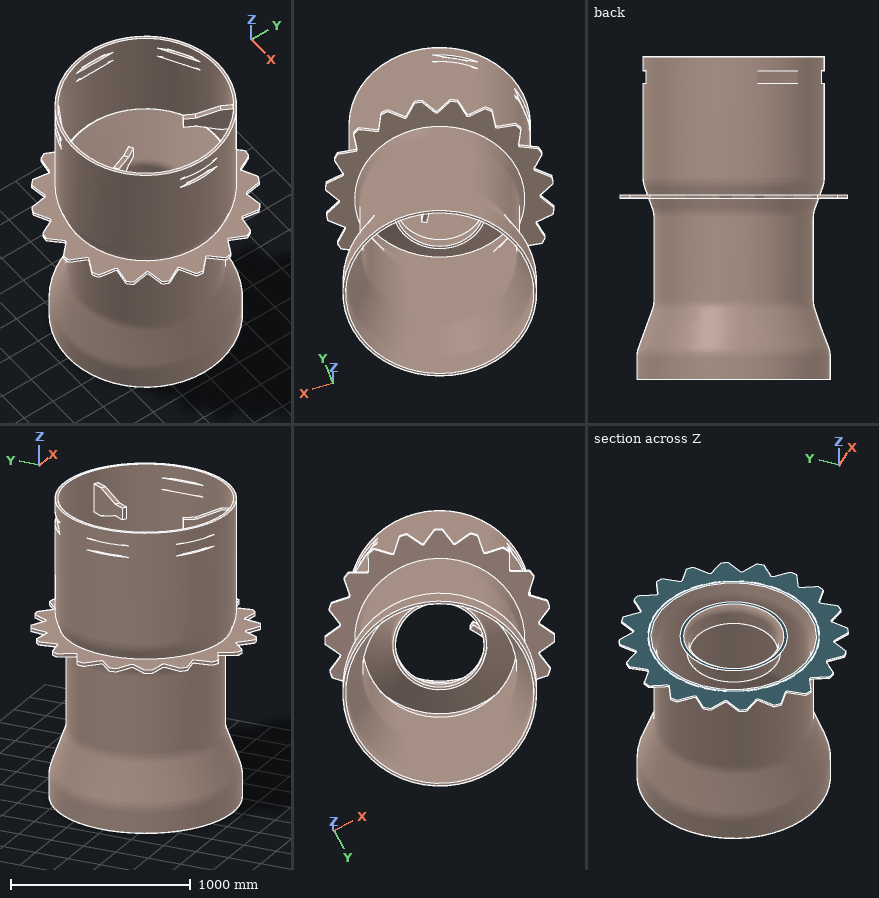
import cadquery as cq
import math

height = 1800.0
wall = 16.0
base_radius = 1080.0 / 2
neck_radius = 890.0 / 2
top_radius = 1012.0 / 2
cone_angle = math.radians(20.0)
convex_bend = 158.0
concave_bend = 142.0
base_corner_z = 153.0
neck_top_corner_z = 930.0

flat_width = 255.0
flat_height = 70.0
flat_top_drop = 80.0
flat_angles = (0.0, 120.0, 180.0, 240.0)

tooth_count = 20
tip_radius = 640.0
root_radius = 560.0
tooth_fillet = 10.0
ring_thickness = 20.0
ring_bottom_z = 1009.0

spout_bore_radius = 500.0 / 2
funnel_wall = (530.0 - 500.0) / 2
funnel_mouth_radius = 960.0 / 2
funnel_outer_bend = 50.0
funnel_rim_z = 1200.0
spout_length = 60.0
spout_taper = 4.0

blade_angles = (60.0, -60.0)
blade_thickness = 30.0
blade_centre_z = 1635.0
blade_root_height = 170.0
blade_tip_height = 70.0
blade_tip_radius = 210.0
blade_taper_inner = 280.0
blade_taper_outer = 420.0

top_bore_radius = top_radius - wall
neck_bottom_corner_z = base_corner_z + (base_radius - neck_radius) / math.tan(cone_angle)
top_corner_z = neck_top_corner_z + (top_radius - neck_radius) / math.tan(cone_angle)
flat_z = height - flat_top_drop - flat_height
flat_outer_distance = math.sqrt(top_radius**2 - (flat_width / 2) ** 2)
flat_inner_distance = math.sqrt(top_bore_radius**2 - (flat_width / 2) ** 2)


def housing_solid(inset):
    """Solid of revolution bounded by the housing's outer surface moved inward by inset."""
    half_tan = math.tan(cone_angle / 2)
    shift = inset * half_tan
    narrowing, widening = -1, 1
    bends = [
        (base_radius, base_corner_z - shift, convex_bend - inset, True, narrowing),
        (neck_radius, neck_bottom_corner_z - shift, concave_bend + inset, False, narrowing),
        (neck_radius, neck_top_corner_z + shift, concave_bend + inset, True, widening),
        (top_radius, top_corner_z + shift, convex_bend - inset, False, widening),
    ]
    profile = cq.Workplane("XZ").lineTo(base_radius - inset, 0)
    for outer_radius, corner_z, bend_radius, cone_above, direction in bends:
        radius = outer_radius - inset
        tangent = bend_radius * half_tan
        side = 1 if cone_above else -1
        tube_end = (radius, corner_z - side * tangent)
        cone_end = (
            radius + side * direction * tangent * math.sin(cone_angle),
            corner_z + side * tangent * math.cos(cone_angle),
        )
        start, end = (tube_end, cone_end) if cone_above else (cone_end, tube_end)
        profile = profile.lineTo(*start).tangentArcPoint(end, relative=False)
    profile = profile.lineTo(top_radius - inset, height).lineTo(0, height).close()
    return profile.revolve(360, (0, 0, 0), (0, 1, 0))


def slab_beyond(distance):
    """Block of the flats' height that lies beyond a plane at this distance from the axis."""
    plane = cq.Workplane("XY", origin=(distance, 0, flat_z))
    return plane.box(top_radius, 2 * top_radius, flat_height, centered=(False, True, False))


def make_housing():
    """Tube shell whose wall is pressed flat at four places below the rim."""
    housing = housing_solid(0).cut(housing_solid(wall))
    mid_wall_radius = top_radius - wall / 2
    core = cq.Workplane("XY", origin=(0, 0, flat_z)).circle(mid_wall_radius).extrude(flat_height)
    outer_cut = slab_beyond(flat_outer_distance)
    inner_pad = core.intersect(slab_beyond(flat_inner_distance)).cut(outer_cut)
    for angle in flat_angles:
        housing = housing.union(inner_pad.rotate((0, 0, 0), (0, 0, 1), angle))
        housing = housing.cut(outer_cut.rotate((0, 0, 0), (0, 0, 1), angle))
    return housing


def turned(point, angle):
    """Point rotated about the origin."""
    x, y = point
    return (
        x * math.cos(angle) - y * math.sin(angle),
        x * math.sin(angle) + y * math.cos(angle),
    )


def mirrored(point):
    """Point reflected across the X axis."""
    return (point[0], -point[1])


def make_toothed_ring():
    """Flat ring with rounded 90 degree V gaps between its teeth, bored to the housing's cone."""
    diagonal = tooth_fillet / math.sqrt(2)
    pitch = 2 * math.pi / tooth_count
    root_centre_x = root_radius + tooth_fillet
    root_end = (root_centre_x - diagonal, diagonal)
    flank_offset = root_centre_x - 2 * tooth_fillet * math.sqrt(2)
    centre_radius = tip_radius - tooth_fillet
    tip_centre_y = (math.sqrt(2 * centre_radius**2 - flank_offset**2) - flank_offset) / 2
    tip_centre_x = tip_centre_y + flank_offset
    flank_end = (tip_centre_x + diagonal, tip_centre_y - diagonal)
    tip_angle = math.atan2(tip_centre_y, tip_centre_x)
    tip_start = (tip_radius * math.cos(tip_angle), tip_radius * math.sin(tip_angle))

    outline = cq.Workplane("XY", origin=(0, 0, ring_bottom_z)).moveTo(*mirrored(root_end))
    for index in range(tooth_count):
        gap = index * pitch
        next_gap = gap + pitch
        outline = (
            outline.threePointArc(turned((root_radius, 0), gap), turned(root_end, gap))
            .lineTo(*turned(flank_end, gap))
            .tangentArcPoint(turned(tip_start, gap), relative=False)
            .threePointArc(
                turned((tip_radius, 0), gap + pitch / 2),
                turned(mirrored(tip_start), next_gap),
            )
            .tangentArcPoint(turned(mirrored(flank_end), next_gap), relative=False)
            .lineTo(*turned(mirrored(root_end), next_gap))
        )
    return outline.close().extrude(ring_thickness).cut(housing_solid(0))


def make_funnel():
    """Cone with a short spout; its square-cut rim touches the housing's bore."""
    sine = (top_bore_radius - funnel_mouth_radius) / funnel_wall
    slope = math.asin(sine)
    cosine = math.cos(slope)
    inner_bend = funnel_outer_bend + funnel_wall
    bend_centre_radius = spout_bore_radius + inner_bend
    inner_bend_radius = bend_centre_radius - inner_bend * sine
    outer_bend_radius = bend_centre_radius - funnel_outer_bend * sine
    inner_bend_z = funnel_rim_z - (funnel_mouth_radius - inner_bend_radius) * math.tan(slope)
    bend_centre_z = inner_bend_z - inner_bend * cosine
    spout_bottom_z = bend_centre_z - spout_length
    spout_outer_radius = spout_bore_radius + funnel_wall
    return (
        cq.Workplane("XZ")
        .moveTo(spout_bore_radius - spout_taper, spout_bottom_z)
        .lineTo(spout_bore_radius, bend_centre_z)
        .radiusArc((inner_bend_radius, inner_bend_z), inner_bend)
        .lineTo(funnel_mouth_radius, funnel_rim_z)
        .lineTo(top_bore_radius, funnel_rim_z - funnel_wall * cosine)
        .lineTo(outer_bend_radius, bend_centre_z + funnel_outer_bend * cosine)
        .radiusArc((spout_outer_radius, bend_centre_z), -funnel_outer_bend)
        .lineTo(spout_outer_radius - spout_taper, spout_bottom_z)
        .close()
        .revolve(360, (0, 0, 0), (0, 1, 0))
    )


def make_blade(angle):
    """Radial plate, tapered in height towards the axis, with its root on the housing's bore."""
    half_profile = [
        (blade_tip_radius, blade_tip_height / 2),
        (blade_taper_inner, blade_tip_height / 2),
        (blade_taper_outer, blade_root_height / 2),
        (top_radius, blade_root_height / 2),
    ]
    lower = [(radius, -half_height) for radius, half_height in reversed(half_profile)]
    bore = (
        cq.Workplane("XY", origin=(0, 0, blade_centre_z - blade_root_height))
        .circle(top_bore_radius)
        .extrude(2 * blade_root_height)
    )
    return (
        cq.Workplane("XZ", origin=(0, 0, blade_centre_z))
        .polyline(half_profile + lower)
        .close()
        .extrude(blade_thickness / 2, both=True)
        .intersect(bore)
        .rotate((0, 0, 0), (0, 0, 1), angle)
    )


housing = make_housing()
toothed_ring = make_toothed_ring()
funnel = make_funnel()
blades = [make_blade(angle) for angle in blade_angles]

result = cq.Compound.makeCompound(
    [housing.val(), toothed_ring.val(), funnel.val(), *[blade.val() for blade in blades]]
)